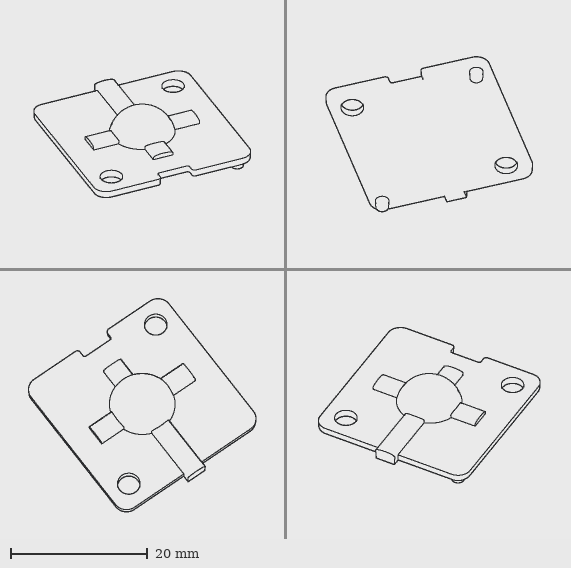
import cadquery as cq
import math

plate_side = 25.0
plate_thickness = 1.2
corner_radius = 2.0
draft_angle = 3.0
lower_radius = 0.2
half_side = plate_side / 2

notch_depth = 1.5
notch_width = 5.0
notch_inner_radius = 0.3
notch_outer_radius = 0.5

hole_diameter = 3.3
hole_offset = 9.0
pin_diameter = 2.0
pin_length = 1.4
pin_offset = half_side - corner_radius

dome_height = 3.8
dome_base_radius = 4.8
dome_radius = (dome_base_radius**2 + dome_height**2) / (2 * dome_height)

overall_length = 26.0
rib_width = 3.17
rib_side_height = 0.3
rib_height = 0.73
rib_reach_y = 8.5
rib_reach_right = 7.5
rib_reach_left = overall_length - half_side


def notch_edges_at(x):
    """Selector for the two vertical notch edges at the given X."""
    return cq.selectors.BoxSelector(
        (x - lower_radius, -notch_width, -plate_thickness),
        (x + lower_radius, notch_width, plate_thickness),
    )


def make_plate():
    """Rounded square plate with a notch, drafted sides and a rounded lower edge."""
    blank = cq.Workplane("XY").rect(plate_side, plate_side).extrude(plate_thickness)
    blank = blank.edges("|Z").fillet(corner_radius)
    notch = cq.Workplane("XY").box(2 * notch_depth, notch_width, 3 * plate_thickness)
    blank = blank.cut(notch.translate((half_side, 0, 0)))
    blank = blank.edges("|Z").edges(notch_edges_at(half_side - notch_depth)).fillet(notch_inner_radius)
    blank = blank.edges("|Z").edges(notch_edges_at(half_side)).fillet(notch_outer_radius)

    outline = blank.faces("<Z").wires().toPending()
    plate = outline.extrude(-plate_thickness, combine=False, taper=draft_angle)
    return plate.faces("<Z").edges().fillet(lower_radius)


def make_dome():
    """Spherical cap standing on the plate."""
    ball = cq.Workplane("XY").sphere(dome_radius).translate((0, 0, dome_height - dome_radius))
    above_plate = cq.Workplane("XY").circle(dome_base_radius).extrude(dome_height)
    return ball.intersect(above_plate)


def make_rib(reach, angle):
    """Rib with an elliptical crown, from the dome centre out to the given reach, turned about Z."""
    half_width = rib_width / 2
    rib = (
        cq.Workplane("YZ")
        .moveTo(half_width, rib_side_height)
        .ellipseArc(half_width, rib_height - rib_side_height, 0, 180)
        .lineTo(-half_width, 0)
        .lineTo(half_width, 0)
        .close()
        .extrude(reach)
    )
    return rib.rotate((0, 0, 0), (0, 0, 1), angle)


def make_tab():
    """Drafted block under the long rib, carrying it past the -X edge down to the plate's lower face."""
    top_half_width = rib_width / 2
    bottom_half_width = top_half_width - plate_thickness * math.tan(math.radians(draft_angle))
    tab = (
        cq.Workplane("YZ", origin=(-rib_reach_left, 0, 0))
        .moveTo(-top_half_width, 0)
        .lineTo(top_half_width, 0)
        .lineTo(bottom_half_width, -plate_thickness)
        .lineTo(-bottom_half_width, -plate_thickness)
        .close()
    )
    return tab.extrude(rib_reach_left - pin_offset)


def make_pins():
    """Tapered locating pins with rounded tips."""
    pins = (
        cq.Workplane("XY", origin=(0, 0, -plate_thickness))
        .pushPoints([(-pin_offset, -pin_offset), (pin_offset, pin_offset)])
        .circle(pin_diameter / 2)
        .extrude(-pin_length, taper=draft_angle)
    )
    return pins.faces("<Z").edges().fillet(lower_radius)


def make_holes():
    """Cutters for the two through holes."""
    return (
        cq.Workplane("XY")
        .pushPoints([(-hole_offset, hole_offset), (hole_offset, -hole_offset)])
        .circle(hole_diameter / 2)
        .extrude(-plate_thickness)
    )


result = make_plate().cut(make_holes()).union(make_pins()).union(make_tab())
rib_reaches = {0: rib_reach_right, 90: rib_reach_y, 180: rib_reach_left, 270: rib_reach_y}
for rib_angle, rib_reach in rib_reaches.items():
    result = result.union(make_rib(rib_reach, rib_angle))
result = result.union(make_dome())